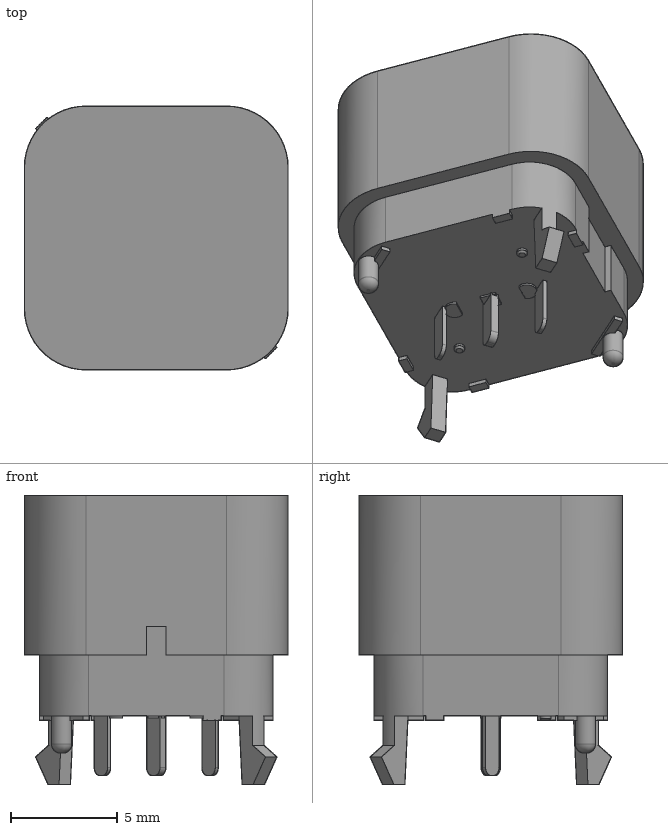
import cadquery as cq
import math

TOTAL_HEIGHT = 13.6
HOOK_LENGTH = 3.24
OVERLAP = 0.14

CAP_SIZE = 12.4
CAP_RADIUS = 2.9
BASE_SIZE = 10.99
BASE_RADIUS = 2.31
BASE_HEIGHT = 2.87
CAP_HEIGHT = TOTAL_HEIGHT - HOOK_LENGTH - BASE_HEIGHT
BASE_HALF = BASE_SIZE / 2
CAP_OVERHANG = (CAP_SIZE - BASE_SIZE) / 2

NOTCH_WIDTH = 0.9
NOTCH_HEIGHT = 1.32
RELIEF_WIDTH = 2.87
RELIEF_DEPTH = 0.3

HOOK_WIDTH = 0.76
HOOK_LEDGE_DROP = 1.4
HOOK_TIP_DROP = 1.93
HOOK_TIP_REACH = 7.65
HOOK_INNER_TOP = 5.86
HOOK_INNER_BOTTOM = 6.08
CORNER_REACH = (BASE_HALF - BASE_RADIUS) * math.sqrt(2) + BASE_RADIUS

PEG_DIAMETER = 0.95
PEG_OFFSET = 4.45
PEG_LENGTH = 1.75
PEG_ROUNDING = 0.42

STANDOFF = 0.22
RIB_LENGTH = 2.64
RIB_THICKNESS = 0.42
RIB_REACH = 6.19
FOOT_LENGTH = 0.85
FOOT_START = 2.2
STUD_DIAMETER = 0.5
STUD_OFFSET = 2.57
STUD_CHAMFER = 0.1

LEG_WIDTH = 0.9
LEG_LENGTH = 2.82
LEG_ROUNDING = 0.4
LEG_PITCH = 2.53
OUTER_LEG_THICKNESS = 0.2
CENTRE_LEG_THICKNESS = 0.4

SEAT_HEIGHT = 0.11
SEAT_DIAMETER = 0.95
SEAT_OFFSET = 1.82
SEAT_INNER_EDGE = 1.58
CENTRE_SEAT_SIZE = 0.78


def block(x_size, y_size, bottom, top):
    """Box centred on the Z axis between two heights."""
    return (
        cq.Workplane("XY", origin=(0, 0, bottom))
        .box(x_size, y_size, top - bottom, centered=(True, True, False))
    )


def cylinder(diameter, bottom, top):
    """Cylinder on the Z axis between two heights."""
    return cq.Workplane("XY", origin=(0, 0, bottom)).circle(diameter / 2).extrude(top - bottom)


def rounded_block(size, radius, bottom, top):
    return block(size, size, bottom, top).edges("|Z").fillet(radius)


def turned(shape, angle):
    return shape.rotate((0, 0, 0), (0, 0, 1), angle)


def make_cap():
    notch = block(NOTCH_WIDTH, CAP_OVERHANG, BASE_HEIGHT, BASE_HEIGHT + NOTCH_HEIGHT)
    notch = notch.translate((0, -(BASE_HALF + CAP_OVERHANG / 2), 0))
    return rounded_block(CAP_SIZE, CAP_RADIUS, BASE_HEIGHT, BASE_HEIGHT + CAP_HEIGHT).cut(notch)


def make_base():
    relief = block(RELIEF_DEPTH, RELIEF_WIDTH, 0, BASE_HEIGHT)
    relief = relief.translate((-BASE_HALF + RELIEF_DEPTH / 2, 0, 0))
    return rounded_block(BASE_SIZE, BASE_RADIUS, 0, BASE_HEIGHT).cut(relief)


def make_hook():
    """Hook reaching out along +X; the arm follows the rounded corner of the base."""
    outline = [
        (HOOK_INNER_TOP, OVERLAP),
        (CORNER_REACH, OVERLAP),
        (CORNER_REACH, -HOOK_LEDGE_DROP),
        (HOOK_TIP_REACH, -HOOK_TIP_DROP),
        (CORNER_REACH, -HOOK_LENGTH),
        (HOOK_INNER_BOTTOM, -HOOK_LENGTH),
    ]
    hook = cq.Workplane("XZ").polyline(outline).close().extrude(HOOK_WIDTH / 2, both=True)
    corner = turned(rounded_block(BASE_SIZE, BASE_RADIUS, -HOOK_LEDGE_DROP, OVERLAP), 45)
    below_ledge = block(2 * HOOK_TIP_REACH, HOOK_WIDTH, -HOOK_LENGTH, -HOOK_LEDGE_DROP)
    return hook.intersect(corner.union(below_ledge))


def make_peg():
    peg = cylinder(PEG_DIAMETER, -PEG_LENGTH, OVERLAP).faces("<Z").edges().fillet(PEG_ROUNDING)
    return peg.translate((-PEG_OFFSET, -PEG_OFFSET, 0))


def make_rib():
    """Rib across the (-X, -Y) corner, square to the diagonal."""
    rib = block(RIB_THICKNESS, RIB_LENGTH, -STANDOFF, OVERLAP)
    return turned(rib.translate((RIB_REACH - RIB_THICKNESS / 2, 0, 0)), 225)


def make_feet():
    """Two feet flush with the base sides that meet at the (+X, -Y) corner."""
    along = FOOT_START + FOOT_LENGTH / 2
    inward = BASE_HALF - RIB_THICKNESS / 2
    front_foot = block(FOOT_LENGTH, RIB_THICKNESS, -STANDOFF, OVERLAP).translate((along, -inward, 0))
    side_foot = block(RIB_THICKNESS, FOOT_LENGTH, -STANDOFF, OVERLAP).translate((inward, -along, 0))
    return front_foot.union(side_foot)


def make_stud():
    stud = cylinder(STUD_DIAMETER, -STANDOFF, OVERLAP).faces("<Z").chamfer(STUD_CHAMFER)
    return stud.translate((STUD_OFFSET, -STUD_OFFSET, 0))


def make_leg(x_position, thickness):
    leg = block(LEG_WIDTH, thickness, -LEG_LENGTH, OVERLAP)
    leg = leg.faces("<Z").edges("|Y").fillet(LEG_ROUNDING)
    return turned(leg, -45).translate((x_position, 0, 0))


def make_outer_seat():
    """Disc around the -X leg, cut straight on its inner edge."""
    disc = cylinder(SEAT_DIAMETER, -SEAT_HEIGHT, OVERLAP).translate((-SEAT_OFFSET, 0, 0))
    kept = block(SEAT_DIAMETER, SEAT_DIAMETER, -SEAT_HEIGHT, OVERLAP)
    return disc.intersect(kept.translate((-SEAT_INNER_EDGE - SEAT_DIAMETER / 2, 0, 0)))


result = make_base().union(make_cap())

paired_features = [
    turned(make_hook(), -45),
    make_peg(),
    make_rib(),
    make_feet(),
    make_stud(),
    make_outer_seat(),
    make_leg(-LEG_PITCH, OUTER_LEG_THICKNESS),
]
for feature in paired_features:
    result = result.union(feature).union(turned(feature, 180))

result = result.union(make_leg(0, CENTRE_LEG_THICKNESS))
result = result.union(block(CENTRE_SEAT_SIZE, CENTRE_SEAT_SIZE, -SEAT_HEIGHT, OVERLAP))